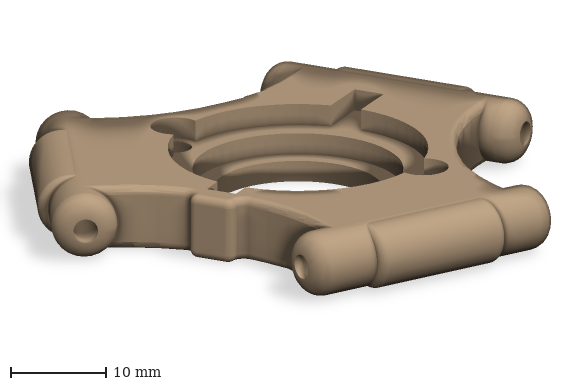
import cadquery as cq
import math

thickness = 6.95
arm_reach = 23.3
scallop_offset = 40.25
scallop_radius = 23.55
rim_round = 0.85
RIGHT_ARM, TOP_ARM, LEFT_ARM = -30, 90, 210
arm_angles = [RIGHT_ARM, TOP_ARM, LEFT_ARM]

barrel_diameter = thickness
barrel_length = 30.2
barrel_round = 2.15
pin_hole_diameter = 2.6
sleeve_length = 15.75
sleeve_round = 0.9
sleeve_shift = 1.1

bore_diameter = 18
seat_diameter = 22.2
pocket_diameter = 27.4
pocket_depth = 2.35
seat_depth = 2.35

ear_diameter = 5.35
screw_hole_diameter = 3.4
ear_offset_x = 14.5
ear_offset_y = 0.35

slot_width = 3.4
slot_x = -1.1
slot_top_y = 19.05
slot_bottom_y = -16.0
tab_round = 0.9
tab_end_y = -18.7

top_z = thickness / 2


def polar(radius, angle):
    """Point at a radius and an angle in degrees."""
    return radius * math.cos(math.radians(angle)), radius * math.sin(math.radians(angle))


def arm_corner(arm_angle, side):
    """End corner of an arm, where its flat end meets a concave arc."""
    axis_along = scallop_offset * math.cos(math.radians(60))
    axis_across = scallop_offset * math.sin(math.radians(60))
    half_width = axis_across - math.sqrt(scallop_radius**2 - (arm_reach - axis_along) ** 2)
    corner_angle = math.degrees(math.atan2(side * half_width, arm_reach))
    return polar(math.hypot(arm_reach, half_width), arm_angle + corner_angle)


def toward(start, target, distance):
    """Point at a distance from start, in the direction of target."""
    ratio = distance / math.dist(start, target)
    return start[0] + ratio * (target[0] - start[0]), start[1] + ratio * (target[1] - start[1])


def tab_flank(side):
    """Points of the S-curve from the lower arc to the tab end (side: -1 left, 1 right).

    A concave root circle touches both the arc and the convex corner circle of the tab.
    """
    arc_axis = (0, -scallop_offset)
    corner = (slot_x + side * slot_width / 2, tab_end_y + tab_round)
    to_corner = math.dist(arc_axis, corner)
    to_root = scallop_radius - tab_round
    corner_to_root = 2 * tab_round
    spread = math.acos((to_corner**2 + to_root**2 - corner_to_root**2) / (2 * to_corner * to_root))
    corner_tilt = math.atan2(corner[0], corner[1] + scallop_offset)
    root_tilt = corner_tilt + side * spread
    root = (to_root * math.sin(root_tilt), to_root * math.cos(root_tilt) - scallop_offset)

    arc_end = toward(arc_axis, root, scallop_radius)
    swap = toward(root, corner, tab_round)
    tab_end = (corner[0], tab_end_y)
    root_middle = bulge(root, arc_end, swap)
    corner_middle = bulge(corner, swap, tab_end)
    return [arc_end, root_middle, swap, corner_middle, tab_end]


def bulge(centre, start, end):
    """Middle of the tab-sized arc between two of its points."""
    chord_middle = ((start[0] + end[0]) / 2, (start[1] + end[1]) / 2)
    return toward(centre, chord_middle, tab_round)


def on_lower_arc(first, second):
    """Point of the lower arc whose x lies halfway between two of its points."""
    x = (first[0] + second[0]) / 2
    return x, math.sqrt(scallop_radius**2 - x**2) - scallop_offset


def make_plate():
    outline = cq.Workplane("XY", origin=(0, 0, -top_z)).moveTo(*arm_corner(RIGHT_ARM, -1))

    outline = outline.lineTo(*arm_corner(RIGHT_ARM, 1))
    for previous, arm in [(RIGHT_ARM, TOP_ARM), (TOP_ARM, LEFT_ARM)]:
        arc_middle = polar(scallop_offset - scallop_radius, (previous + arm) / 2)
        outline = outline.threePointArc(arc_middle, arm_corner(arm, -1))
        outline = outline.lineTo(*arm_corner(arm, 1))

    left = tab_flank(-1)
    right = tab_flank(1)
    right.reverse()
    start = arm_corner(LEFT_ARM, 1)
    finish = arm_corner(RIGHT_ARM, -1)
    outline = outline.threePointArc(on_lower_arc(start, left[0]), left[0])
    outline = outline.threePointArc(left[1], left[2]).threePointArc(left[3], left[4])
    outline = outline.lineTo(*right[0])
    outline = outline.threePointArc(right[1], right[2]).threePointArc(right[3], right[4])
    outline = outline.threePointArc(on_lower_arc(right[4], finish), finish)
    plate = outline.close().extrude(thickness)

    rim = plate.faces("<Z or >Z").edges().filter(
        lambda edge: edge.geomType() != "LINE" or edge.Length() <= slot_width + rim_round
    )
    return rim.fillet(rim_round)


def across_arm(arm_angle, distance, diameter, length):
    """Round bar lying across an arm, with its middle at a distance from the centre."""
    along = cq.Vector(*polar(1, arm_angle))
    across = cq.Vector(*polar(1, arm_angle + 90))
    end_plane = cq.Plane(along * distance - across * (length / 2), xDir=-along, normal=across)
    return cq.Workplane(end_plane).circle(diameter / 2).extrude(length)


def make_rod(arm_angle, distance, length, end_round):
    """Bar across an arm, as thick as the plate, with rounded ends."""
    return across_arm(arm_angle, distance, barrel_diameter, length).edges("%CIRCLE").fillet(end_round)


def make_recess():
    """Pocket with ears and key slot, stepped down to a through bore."""
    slot_length = slot_top_y - slot_bottom_y
    slot_middle_y = (slot_top_y + slot_bottom_y) / 2
    ears = [(-ear_offset_x, ear_offset_y), (ear_offset_x, ear_offset_y)]
    top_plane = cq.Workplane("XY", origin=(0, 0, top_z))

    pocket = top_plane.circle(pocket_diameter / 2).extrude(-pocket_depth)
    slot = top_plane.center(slot_x, slot_middle_y).rect(slot_width, slot_length).extrude(-pocket_depth)
    ear_pockets = top_plane.pushPoints(ears).circle(ear_diameter / 2).extrude(-pocket_depth)
    screw_holes = top_plane.pushPoints(ears).circle(screw_hole_diameter / 2).extrude(-thickness)
    seat = top_plane.circle(seat_diameter / 2).extrude(-pocket_depth - seat_depth)
    bore = top_plane.circle(bore_diameter / 2).extrude(-thickness)
    return pocket.union(slot).union(ear_pockets).union(screw_holes).union(seat).union(bore)


body = make_plate()
for arm_angle in arm_angles:
    body = body.union(make_rod(arm_angle, arm_reach, barrel_length, barrel_round))
    body = body.union(make_rod(arm_angle, arm_reach + sleeve_shift, sleeve_length, sleeve_round))

for arm_angle in arm_angles:
    body = body.cut(across_arm(arm_angle, arm_reach, pin_hole_diameter, barrel_length))

result = body.cut(make_recess())